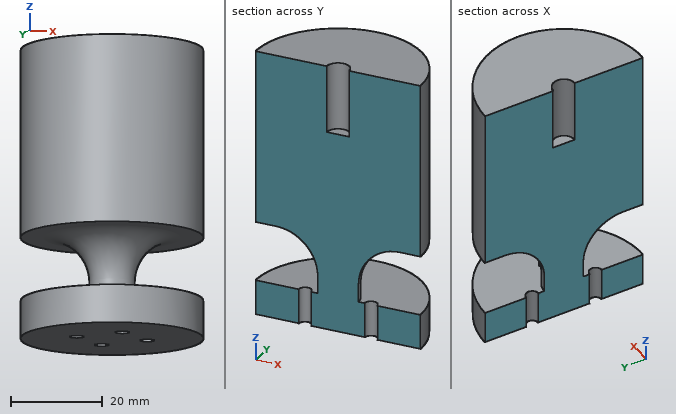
import cadquery as cq

total_height = 64.0
outer_diameter = 40.0
base_height = 8.4
body_height = 41.6
neck_diameter = 10.0
flare_radius = 10.0
top_hole_diameter = 5.4
top_hole_depth = 16.0
base_hole_diameter = 3.0
base_hole_circle_radius = 8.0
base_hole_count = 4

outer_radius = outer_diameter / 2
neck_radius = neck_diameter / 2
body_bottom = total_height - body_height
flare_bottom = body_bottom - flare_radius
flare_top_radius = neck_radius + flare_radius


def turned_body():
    """Base disc, neck, concave quarter-round flare and cylindrical body."""
    profile = (
        cq.Workplane("XZ")
        .moveTo(0, 0)
        .lineTo(outer_radius, 0)
        .lineTo(outer_radius, base_height)
        .lineTo(neck_radius, base_height)
        .lineTo(neck_radius, flare_bottom)
        .radiusArc((flare_top_radius, body_bottom), flare_radius)
        .lineTo(outer_radius, body_bottom)
        .lineTo(outer_radius, total_height)
        .lineTo(0, total_height)
        .close()
    )
    return profile.revolve(360, (0, 0, 0), (0, 1, 0))


def top_hole():
    """Blind, flat-bottomed hole on the axis of the body."""
    return (
        cq.Workplane("XY", origin=(0, 0, total_height - top_hole_depth))
        .circle(top_hole_diameter / 2)
        .extrude(top_hole_depth)
    )


def base_holes():
    """Holes through the base disc, evenly spaced around the neck."""
    return (
        cq.Workplane("XY")
        .polarArray(base_hole_circle_radius, 0, 360, base_hole_count)
        .circle(base_hole_diameter / 2)
        .extrude(base_height)
    )


result = turned_body().cut(top_hole()).cut(base_holes())